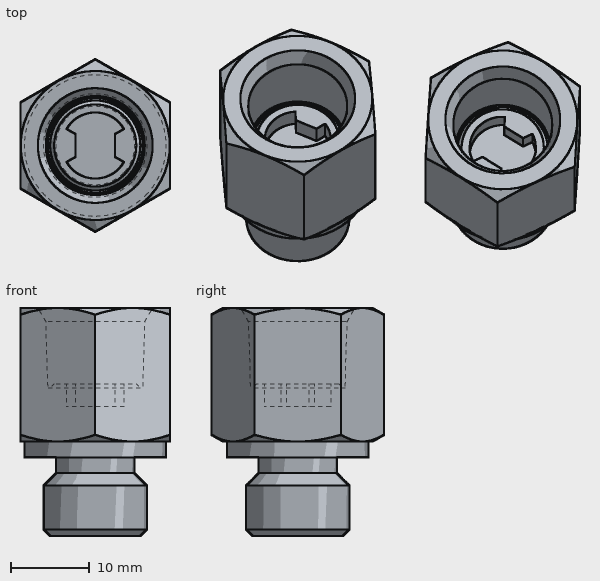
import cadquery as cq
import math

total_height = 29.0
hex_height = 17.0
collar_height = 2.0
neck_height = 2.0
hex_bottom = total_height - hex_height
collar_bottom = hex_bottom - collar_height
neck_bottom = collar_bottom - neck_height

across_flats = 19.0
across_corners = across_flats / math.cos(math.radians(30))
hex_face_dia = 18.95
hex_chamfer_angle = 30
hex_chamfer_height = (across_corners - hex_face_dia) / 2 * math.tan(math.radians(hex_chamfer_angle))

collar_dia = 18.0
neck_dia = 10.0
spigot_dia = 13.17
spigot_tip_dia = 11.45
shoulder_height = (spigot_dia - neck_dia) / 2
tip_chamfer = (spigot_dia - spigot_tip_dia) / 2

socket_depth = 10.15
socket_mouth_dia = 14.6
socket_dia = 12.6
socket_taper = 1 / 16
lead_in_angle = 30
lead_in_depth = (socket_mouth_dia - socket_dia) / 2 / math.tan(math.radians(lead_in_angle))
socket_floor_dia = socket_dia - socket_taper * (socket_depth - lead_in_depth)
socket_floor = total_height - socket_depth

seat_dia = 11.45
seat_top_dia = 10.45
seat_height = (seat_dia - seat_top_dia) / 2
seat_top = socket_floor + seat_height

recess_dia = 8.4
recess_depth = 2.9
tab_gap = 5.0
tab_half_angle = math.radians(30)


def turned(profile):
    """Revolve a closed (radius, height) outline about the Z axis."""
    return cq.Workplane("XZ").polyline(profile).close().revolve(360, (0, 0, 0), (0, 1, 0))


def make_hex_body():
    prism = (
        cq.Workplane("XY")
        .workplane(offset=hex_bottom)
        .polygon(6, across_flats, circumscribed=True)
        .extrude(hex_height)
    )
    blank = turned([
        (0, hex_bottom),
        (hex_face_dia / 2, hex_bottom),
        (across_corners / 2, hex_bottom + hex_chamfer_height),
        (across_corners / 2, total_height - hex_chamfer_height),
        (hex_face_dia / 2, total_height),
        (0, total_height),
    ])
    return prism.intersect(blank)


def make_spigot():
    return turned([
        (0, 0),
        (spigot_tip_dia / 2, 0),
        (spigot_dia / 2, tip_chamfer),
        (spigot_dia / 2, neck_bottom - shoulder_height),
        (neck_dia / 2, neck_bottom),
        (neck_dia / 2, collar_bottom),
        (collar_dia / 2, collar_bottom),
        (collar_dia / 2, hex_bottom),
        (0, hex_bottom),
    ])


def make_socket():
    """Socket void, hollowed at its floor to leave the seat standing."""
    return turned([
        (0, seat_top),
        (seat_top_dia / 2, seat_top),
        (seat_dia / 2, socket_floor),
        (socket_floor_dia / 2, socket_floor),
        (socket_dia / 2, total_height - lead_in_depth),
        (socket_mouth_dia / 2, total_height),
        (0, total_height),
    ])


def make_key_recess():
    tab_x = tab_gap / 2
    tab_y = tab_x * math.tan(tab_half_angle)
    rim_x = recess_dia / 2 * math.cos(tab_half_angle)
    rim_y = recess_dia / 2 * math.sin(tab_half_angle)
    return (
        cq.Workplane("XY")
        .workplane(offset=seat_top - recess_depth)
        .moveTo(tab_x, -tab_y)
        .lineTo(tab_x, tab_y)
        .lineTo(rim_x, rim_y)
        .threePointArc((0, recess_dia / 2), (-rim_x, rim_y))
        .lineTo(-tab_x, tab_y)
        .lineTo(-tab_x, -tab_y)
        .lineTo(-rim_x, -rim_y)
        .threePointArc((0, -recess_dia / 2), (rim_x, -rim_y))
        .close()
        .extrude(recess_depth)
    )


result = make_hex_body().union(make_spigot()).cut(make_socket()).cut(make_key_recess())